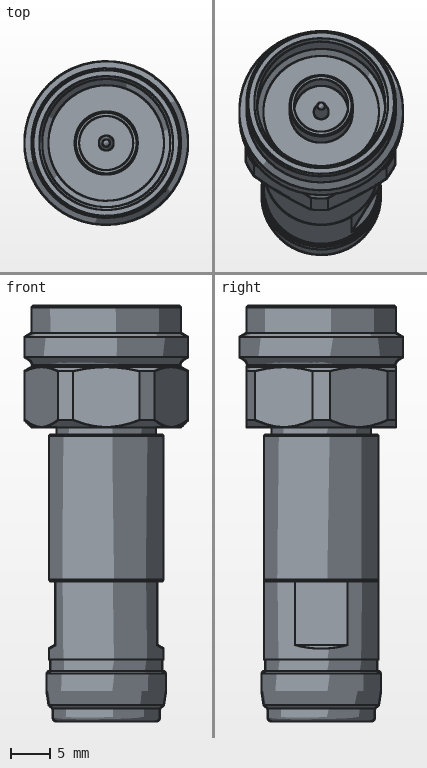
import cadquery as cq
import math

total_length = 52.8
overall_radius = 10.4

mouth_radius = 6.8
mouth_fillet = 0.55
shoulder_z = 1.65
shoulder_chamfer = 0.5
bead_bottom_z = 3.85
bead_radius = 7.6
bead_taper = 0.25
bead_top_z = 6.4
bead_chamfer = 0.25
recess_radius = 7.15
recess_top_z = 7.85

barrel_radius = 7.3
sleeve_bottom_z = 17.8
sleeve_top_z = 36.45
sleeve_chamfer = 0.2
neck_radius = 6.35

flat_half_width = 6.5
flat_bottom_z = 9.7
flat_slope_angle = 30.0

nut_across_flats = 19.0
nut_bottom_z = 37.35
nut_bottom_chamfer = 0.95
nut_top_z = 45.0
nut_top_angle = 30.0

collar_radius = 9.5
groove_radius = 9.4
groove_z = 45.25
groove_fillet = 0.95
edge_margin = 0.05
ring_bottom_z = 46.25
ring_top_z = 48.8
ring_chamfer = 0.55
collar_chamfer = 0.25

bore_radius = 8.15
bore_chamfer = 0.35
floor_radius = 7.35
cone_top_z = 48.65
floor_z = 48.1
tube_radius = 4.0
tube_bore_radius = 3.45
tube_top_z = 51.6
tube_chamfer = 0.15
pin_base_radius = 0.95
pin_tip_radius = 0.5
pin_shoulder_z = 51.25
pin_dome_height = 0.2


def revolve(points):
    """Revolve a closed outline of (radius, z) points about the Z axis."""
    return cq.Workplane("XZ").polyline(points).close().revolve(360, (0, 0), (0, 1))


def make_barrel():
    bead_end_radius = bead_radius - bead_taper
    barrel = revolve([
        (0, 0),
        (mouth_radius, 0),
        (mouth_radius, shoulder_z),
        (bead_end_radius, shoulder_z + shoulder_chamfer),
        (bead_radius, bead_bottom_z),
        (bead_radius, bead_top_z - bead_chamfer),
        (bead_radius - bead_chamfer, bead_top_z),
        (recess_radius, bead_top_z),
        (recess_radius, recess_top_z),
        (barrel_radius, recess_top_z),
        (barrel_radius, sleeve_bottom_z),
        (0, sleeve_bottom_z),
    ])
    return barrel.faces("<Z").edges().fillet(mouth_fillet)


def cut_flats(body):
    """Cut the two opposite wrench flats, each ending in an outward slope."""
    reach = 2 * barrel_radius
    drop = (reach - flat_half_width) * math.tan(math.radians(flat_slope_angle))
    cutter = (
        cq.Workplane("XZ")
        .polyline([
            (flat_half_width, flat_bottom_z),
            (reach, flat_bottom_z - drop),
            (reach, sleeve_bottom_z),
            (flat_half_width, sleeve_bottom_z),
        ])
        .close()
        .extrude(barrel_radius, both=True)
    )
    return body.cut(cutter).cut(cutter.mirror("YZ"))


def make_sleeve():
    sleeve = (
        cq.Workplane("XY", origin=(0, 0, sleeve_bottom_z))
        .circle(barrel_radius)
        .extrude(sleeve_top_z - sleeve_bottom_z)
        .edges()
        .chamfer(sleeve_chamfer)
    )
    neck = (
        cq.Workplane("XY", origin=(0, 0, sleeve_top_z))
        .circle(neck_radius)
        .extrude(nut_bottom_z - sleeve_top_z)
    )
    return sleeve.union(neck)


def make_nut():
    """Hexagon with two flats facing +Y and -Y, trimmed by a chamfered round."""
    top_drop = (overall_radius - collar_radius) * math.tan(math.radians(nut_top_angle))
    hexagon = (
        cq.Workplane("XY", origin=(0, 0, nut_bottom_z))
        .polygon(6, nut_across_flats, circumscribed=True)
        .extrude(nut_top_z - nut_bottom_z)
        .rotate((0, 0, 0), (0, 0, 1), 30)
    )
    envelope = revolve([
        (0, nut_bottom_z),
        (overall_radius - nut_bottom_chamfer, nut_bottom_z),
        (overall_radius, nut_bottom_z + nut_bottom_chamfer),
        (overall_radius, nut_top_z - top_drop),
        (collar_radius, nut_top_z),
        (0, nut_top_z),
    ])
    return hexagon.intersect(envelope)


def make_collar():
    ring_underside_z = ring_bottom_z - ring_chamfer
    collar = revolve([
        (0, nut_top_z),
        (collar_radius, nut_top_z),
        (groove_radius, groove_z),
        (collar_radius, ring_underside_z),
        (overall_radius, ring_bottom_z),
        (overall_radius, ring_top_z),
        (collar_radius, ring_top_z + ring_chamfer),
        (collar_radius, total_length - collar_chamfer),
        (collar_radius - collar_chamfer, total_length),
        (bore_radius + bore_chamfer, total_length),
        (bore_radius, total_length - bore_chamfer),
        (bore_radius, cone_top_z),
        (floor_radius, floor_z),
        (0, floor_z),
    ])
    underside_edge = cq.selectors.BoxSelector(
        (-collar_radius, -collar_radius, ring_underside_z - edge_margin),
        (collar_radius, collar_radius, ring_underside_z + edge_margin),
    )
    return collar.edges(underside_edge).fillet(groove_fillet)


def make_center_contact():
    tube = (
        cq.Workplane("XY", origin=(0, 0, floor_z))
        .circle(tube_radius)
        .extrude(tube_top_z - floor_z)
        .faces(">Z")
        .edges()
        .chamfer(tube_chamfer)
        .faces(">Z")
        .workplane()
        .circle(tube_bore_radius)
        .cutThruAll()
    )
    dome_radius = (pin_tip_radius**2 + pin_dome_height**2) / (2 * pin_dome_height)
    dome_top_z = pin_shoulder_z + pin_dome_height
    pin = (
        cq.Workplane("XZ")
        .moveTo(0, floor_z)
        .lineTo(0, dome_top_z)
        .radiusArc((pin_tip_radius, pin_shoulder_z), dome_radius)
        .lineTo(pin_base_radius, floor_z)
        .close()
        .revolve(360, (0, 0), (0, 1))
    )
    return tube.union(pin)


result = (
    cut_flats(make_barrel())
    .union(make_sleeve())
    .union(make_nut())
    .union(make_collar())
    .union(make_center_contact())
)